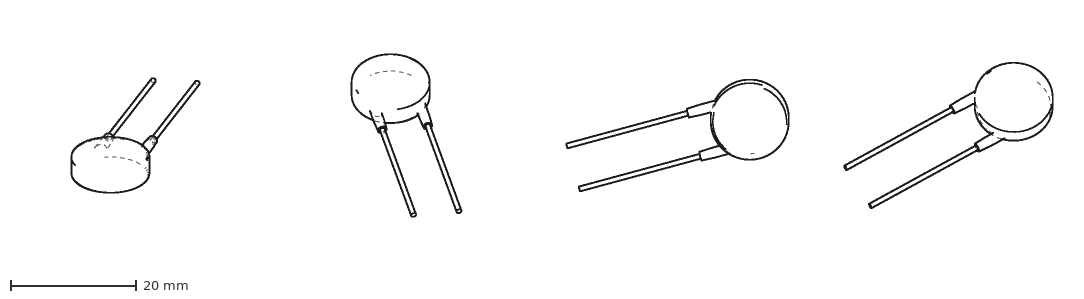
import cadquery as cq

disc_diameter = 12.5
disc_height = 3.6
rim_fillet = 0.35

overall_length = 35.5
lead_spacing = 7.5
lead_height_offset = 0.5
wire_diameter = 0.8

sleeve_diameter = 1.67
sleeve_tip_diameter = 1.45
taper_start_y = 7.05
sleeve_tip_y = 9.23
joint_fillet = 0.18

disc_radius = disc_diameter / 2
wire_end_y = overall_length - disc_radius
root_y = disc_radius / 2


def make_disc():
    disc = cq.Workplane("XY").cylinder(disc_height, disc_radius)
    return disc.faces("|Z").edges().fillet(rim_fillet)


def make_lead(x, z):
    """Revolve the sleeve and wire profile about an axis parallel to Y."""
    sleeve_radius = sleeve_diameter / 2
    tip_radius = sleeve_tip_diameter / 2
    wire_radius = wire_diameter / 2
    profile = (
        cq.Workplane("YZ")
        .moveTo(root_y, 0)
        .lineTo(root_y, sleeve_radius)
        .lineTo(taper_start_y, sleeve_radius)
        .lineTo(sleeve_tip_y, tip_radius)
        .lineTo(sleeve_tip_y, wire_radius)
        .lineTo(wire_end_y, wire_radius)
        .lineTo(wire_end_y, 0)
        .close()
    )
    lead = profile.revolve(360, (0, 0, 0), (1, 0, 0))
    return lead.translate((x, 0, z))


result = make_disc()
for side in (-1, 1):
    result = result.union(make_lead(side * lead_spacing / 2, side * lead_height_offset))

result = result.edges("%BSPLINE").fillet(joint_fillet)